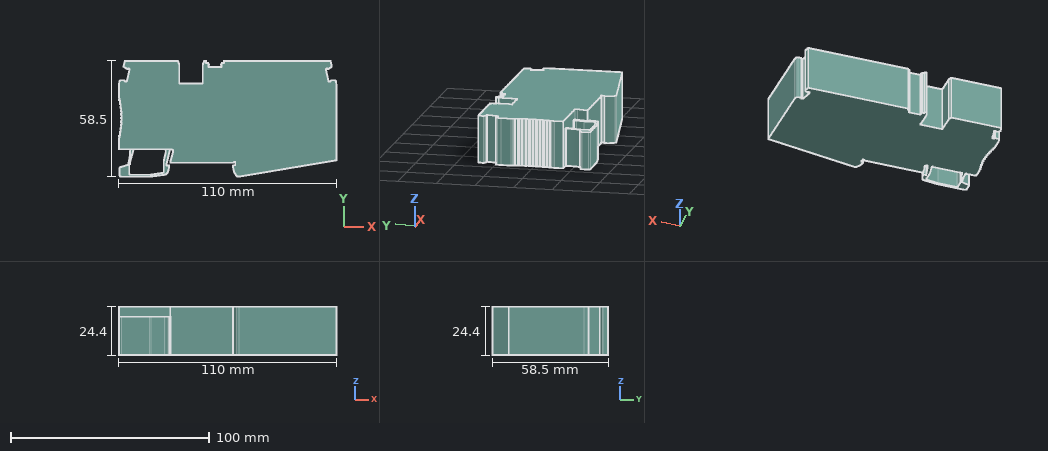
import cadquery as cq
import math

LENGTH = 110.0
DEPTH = 58.5
HEIGHT = 24.4

BASE_Y = 7.1
STEP_Y = 13.8
RIGHT_END_Y = 8.3

STEP_X = 26.05
HOOK_TIP_X = 57.65
HOOK_ROOT_X = 58.8
HOOK_LEDGE_Y = 5.85
HOOK_RELIEF_Y = 7.55

LIP_X = 3.0
GROOVE_BOTTOM_Y = 48.2
SHOULDER_Y = 48.8
SHOULDER_RADIUS = 0.9

SLOT_LEFT = 30.6
SLOT_RIGHT = 42.4
SLOT_FLOOR_Y = 47.2
SLOT_FLARE = 0.7
SLOT_FLARE_DEPTH = 1.7

MARKER_CENTRE = 48.6
MARKER_HALF_MOUTH = 4.5
MARKER_HALF_FLOOR = 3.2
MARKER_HALF_NECK = 2.95
MARKER_DEPTH = 3.0
MARKER_STEP_DEPTH = 0.95
MARKER_NECK_Y = 56.6

GRIP_CENTRE_Y = 29.7
GRIP_LENGTH = 21.7
GRIP_SAG = 1.4
GRIP_EDGE_RADIUS = 3.0
RIB_COUNT = 11
RIB_PITCH = 1.84
RIB_RADIUS = 0.35

FOOT_HEIGHT = 19.4
FOOT_LEFT = 0.3
FOOT_RIGHT = 25.4
FOOT_FLOOR_Y = 1.1
FOOT_BEND_X = 15.7
FOOT_HOOK_Y = 5.75
LEFT_LEG_X = 5.7
RIGHT_LEG_INNER_X = 23.65
RIGHT_LEG_OUTER_X = 25.8
ROOT_FLARE = 0.4
FLARE_Y = STEP_Y - ROOT_FLARE
OPENING_LEFT = 5.35
OPENING_STEP_Y = 6.25
OPENING_ROOT_X = 7.5
FOOT_ROOT_Y = STEP_Y + 0.5


def corner_arc(before, corner, after):
    """Start, middle and end of the tangent arc that rounds a corner (x, y, radius)."""
    x, y, radius = corner
    to_before = math.atan2(before[1] - y, before[0] - x)
    to_after = math.atan2(after[1] - y, after[0] - x)
    turn = math.remainder(to_after - to_before, 2 * math.pi)
    half_angle = abs(turn) / 2
    tangent = radius / math.tan(half_angle)
    middle = radius / math.sin(half_angle) - radius
    bisector = to_before + turn / 2

    def along(angle, distance):
        return (x + distance * math.cos(angle), y + distance * math.sin(angle))

    return along(to_before, tangent), along(bisector, middle), along(to_after, tangent)


def extruded_outline(corners, height):
    """Extrude a closed outline; a corner is (x, y) or, when rounded, (x, y, radius)."""
    outline = cq.Workplane("XY").moveTo(*corners[0])
    for i in range(1, len(corners)):
        corner = corners[i]
        if len(corner) == 2:
            outline = outline.lineTo(*corner)
        else:
            following = corners[(i + 1) % len(corners)]
            start, middle, end = corner_arc(corners[i - 1], corner, following)
            outline = outline.lineTo(*start).threePointArc(middle, end)
    return outline.close().extrude(height)


def mirrored(corners, axis_x):
    """Reverse a run of corners and reflect it about a line of constant X."""
    return [(2 * axis_x - x, *rest) for x, *rest in reversed(corners)]


def latch_groove():
    """Left end from the straight side up to the top edge."""
    return [
        (0, 46.2),
        (0.3, SHOULDER_Y, SHOULDER_RADIUS),
        (2.8, SHOULDER_Y),
        (3.2, GROOVE_BOTTOM_Y),
        (4.0, GROOVE_BOTTOM_Y),
        (5.4, 54.4),
        (4.7, 54.75),
        (4.4, 54.3),
        (2.3, 55.6, 0.3),
        (LIP_X, DEPTH),
    ]


def plug_slot():
    """Top edge running down into the plug slot and up again."""
    return [
        (SLOT_LEFT - SLOT_FLARE, DEPTH),
        (SLOT_LEFT, DEPTH - SLOT_FLARE_DEPTH),
        (SLOT_LEFT, SLOT_FLOOR_Y),
        (SLOT_RIGHT, SLOT_FLOOR_Y),
        (SLOT_RIGHT, DEPTH - SLOT_FLARE_DEPTH),
        (SLOT_RIGHT + SLOT_FLARE, DEPTH),
    ]


def marker_recess():
    """Recess with small lips that narrow it to a neck above its floor."""
    mouth_x = MARKER_CENTRE - MARKER_HALF_MOUTH
    floor_x = MARKER_CENTRE - MARKER_HALF_FLOOR
    step_y = DEPTH - MARKER_STEP_DEPTH
    left_side = [
        (mouth_x, DEPTH),
        (mouth_x, step_y),
        (floor_x - 0.3, step_y),
        (MARKER_CENTRE - MARKER_HALF_NECK, MARKER_NECK_Y),
        (floor_x, MARKER_NECK_Y - 0.25),
        (floor_x, DEPTH - MARKER_DEPTH),
    ]
    return left_side + mirrored(left_side, MARKER_CENTRE)


def underside():
    """Lower edge from the right end back to the left end, with the fixed rail hook."""
    return [
        (LENGTH, RIGHT_END_Y),
        (59.9, -0.1, 1.3),
        (HOOK_TIP_X, 2.7, 7.4),
        (HOOK_TIP_X, HOOK_LEDGE_Y, 0.4),
        (HOOK_ROOT_X, HOOK_LEDGE_Y),
        (HOOK_ROOT_X, HOOK_RELIEF_Y),
        (58.4, HOOK_RELIEF_Y),
        (57.8, BASE_Y),
        (STEP_X, BASE_Y),
        (STEP_X, 7.8),
        (27.7, STEP_Y, 0.9),
        (0, STEP_Y),
    ]


def housing():
    """Full-height housing; both ends have the same latch groove, mirrored."""
    left_end = latch_groove()
    right_end = mirrored(left_end, LENGTH / 2)
    return extruded_outline(left_end + plug_slot() + marker_recess() + right_end + underside(), HEIGHT)


def add_finger_grip(body):
    """Hollow the left end, round the rims of the hollow and add the ribs."""
    half_length = GRIP_LENGTH / 2
    radius = (half_length**2 + GRIP_SAG**2) / (2 * GRIP_SAG)
    centre_x = GRIP_SAG - radius
    hollow = cq.Workplane("XY").center(centre_x, GRIP_CENTRE_Y).circle(radius).extrude(HEIGHT)
    body = body.cut(hollow)
    for end_y in (GRIP_CENTRE_Y - half_length, GRIP_CENTRE_Y + half_length):
        grip_edge = cq.selectors.NearestToPointSelector((0, end_y, HEIGHT / 2))
        body = body.edges("|Z").edges(grip_edge).fillet(GRIP_EDGE_RADIUS)
    for i in range(RIB_COUNT):
        offset = (i - (RIB_COUNT - 1) / 2) * RIB_PITCH
        rib_x = centre_x + math.sqrt(radius**2 - offset**2)
        rib = cq.Workplane("XY").center(rib_x, GRIP_CENTRE_Y + offset).circle(RIB_RADIUS).extrude(HEIGHT)
        body = body.union(rib)
    return body


def spring_foot():
    """Lower foot: two thin legs joined by a bottom web around an opening."""
    outer = [
        (LEFT_LEG_X - ROOT_FLARE, FOOT_ROOT_Y),
        (LEFT_LEG_X - ROOT_FLARE, STEP_Y),
        (LEFT_LEG_X, FLARE_Y),
        (5.6, 9.78, 33),
        (4.7, 6.15),
        (FOOT_LEFT, 4.75, 0.8),
        (FOOT_LEFT, 0, 0.95),
        (FOOT_BEND_X, 0, 5.0),
        (24.2, 1.1, 2.25),
        (FOOT_RIGHT, 3.7, 7.0),
        (FOOT_RIGHT, FOOT_HOOK_Y),
        (24.0, FOOT_HOOK_Y),
        (RIGHT_LEG_OUTER_X, FLARE_Y),
        (RIGHT_LEG_OUTER_X + ROOT_FLARE, STEP_Y),
        (RIGHT_LEG_OUTER_X + ROOT_FLARE, FOOT_ROOT_Y),
    ]
    opening = [
        (OPENING_ROOT_X, FOOT_ROOT_Y),
        (OPENING_ROOT_X, STEP_Y),
        (5.75, 7.4),
        (5.75, OPENING_STEP_Y),
        (OPENING_LEFT, OPENING_STEP_Y),
        (OPENING_LEFT, FOOT_FLOOR_Y, 0.5),
        (15.9, FOOT_FLOOR_Y),
        (22.65, 2.15),
        (22.7, 8.3),
        (RIGHT_LEG_INNER_X, 12.4),
        (RIGHT_LEG_INNER_X, FLARE_Y),
        (RIGHT_LEG_INNER_X - ROOT_FLARE, STEP_Y),
        (RIGHT_LEG_INNER_X - ROOT_FLARE, FOOT_ROOT_Y),
    ]
    return extruded_outline(outer, FOOT_HEIGHT).cut(extruded_outline(opening, FOOT_HEIGHT))


result = add_finger_grip(housing()).union(spring_foot())